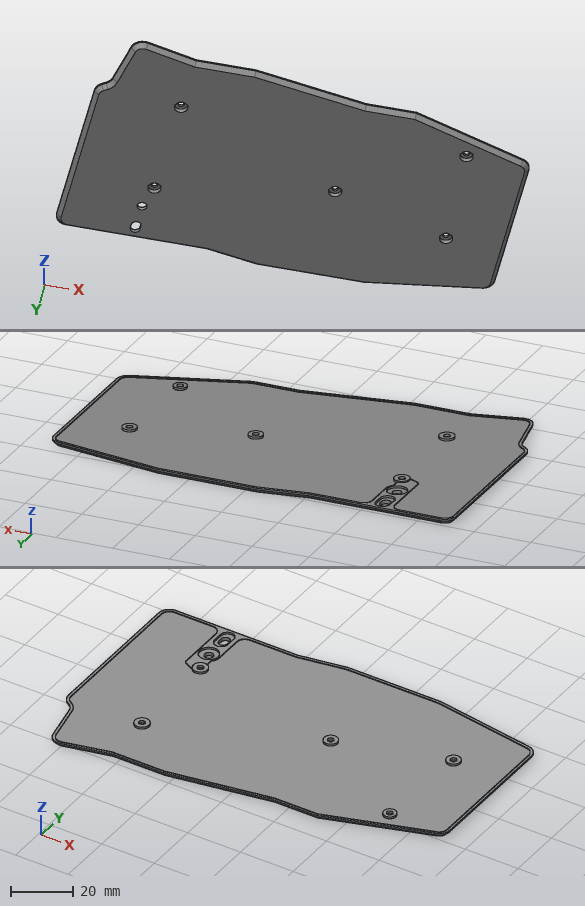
import cadquery as cq

rim_height = 2.0
boss_height = 2.5
recess_depth = 0.3
floor_height = rim_height - recess_depth
counterbore_depth = 0.7

half_length = 71.7
corner_radius = 4.0
bottom_chamfer = 1.5
rim_width = 1.0

top_left = (-half_length, 39.6)
top_right = (half_length, 36.0)
bottom_right = (half_length, -19.2)
bottom_left = (-63.5, -43.5)
notch_inner = (-67.4, -23.7)
notch_outer = (-half_length, -20.7)
rounded_corners = [top_left, top_right, bottom_right, bottom_left, notch_inner, notch_outer]

shoulder_y = 42.5
belly_y = -32.3
heel_y = -38.6
outline = [
    top_left,
    (-21.5, top_left[1]),
    (-4.3, shoulder_y),
    (31.0, shoulder_y),
    top_right,
    bottom_right,
    (31.1, belly_y),
    (14.6, belly_y),
    (-23.1, heel_y),
    (-42.8, heel_y),
    bottom_left,
    notch_inner,
    notch_outer,
]

large_boss_diameter = 5.3
small_boss_diameter = 5.0
smallest_boss_diameter = 4.6
land_boss = (-43.9, 16.6)
bosses = [
    (land_boss, large_boss_diameter),
    ((-43.3, -19.2), large_boss_diameter),
    ((12.9, 5.2), small_boss_diameter),
    ((52.1, 17.0), small_boss_diameter),
    ((50.6, -19.0), smallest_boss_diameter),
]

boss_hole_diameter = 2.2
screw_head_diameter = 4.3
screw_head_depth = 1.6

land_x = -46.0
land_width = 8.0
land_fillet = 3.0
land_left = land_x - land_width / 2
land_right = land_x + land_width / 2
hole_y = 25.1
hole_diameter = 3.2
hole_counterbore_diameter = 6.9
slot_y = 34.3
slot_length = 4.6
slot_width = hole_diameter
slot_counterbore_width = 5.0
slot_counterbore_length = 8.6
land_tip_y = 17.1
land_tip = (land_left, land_tip_y)
land_tip_fillet = 1.1
neck_offset = 0.6
neck_x = land_boss[0] + neck_offset


def round_upright_edges(body, corners, radius):
    """Fillet the vertical edge nearest to each corner point."""
    for x, y in corners:
        nearest = cq.selectors.NearestToPointSelector((x, y, body.val().Center().z))
        body = body.edges("|Z").edges(nearest).fillet(radius)
    return body


def block(points, bottom, top):
    """Extrude a closed polygon between two heights."""
    return cq.Workplane("XY").workplane(offset=bottom).polyline(points).close().extrude(top - bottom)


def cylinder(centre, diameter, bottom, top):
    return (
        cq.Workplane("XY").workplane(offset=bottom).center(*centre)
        .circle(diameter / 2).extrude(top - bottom)
    )


def lengthwise_slot(centre, length, width, bottom, top):
    """Round-ended slot body running along Y."""
    return (
        cq.Workplane("XY").workplane(offset=bottom).center(*centre)
        .slot2D(length, width, 90).extrude(top - bottom)
    )


def make_recess(plate):
    """Shallow pocket inside the rim, leaving the land standing."""
    pocket = (
        plate.faces(">Z").wires().toPending().offset2D(-rim_width).extrude(-recess_depth, combine=False)
    )
    strip = block(
        [(land_left, hole_y), (land_left, shoulder_y), (land_right, shoulder_y), (land_right, hole_y)],
        floor_height, rim_height,
    )
    tail = block(
        [(land_left, hole_y), land_tip, (land_boss[0], land_boss[1] - large_boss_diameter / 2),
         land_boss, (neck_x, land_boss[1]), (neck_x, hole_y)],
        floor_height, rim_height,
    )
    tail = round_upright_edges(tail, [land_tip], land_tip_fillet)
    round_end = cylinder((land_x, hole_y), land_width, floor_height, rim_height)
    pocket = pocket.cut(strip).cut(tail).cut(round_end)
    rim_y = top_left[1] - rim_width
    return round_upright_edges(pocket, [(land_left, rim_y), (land_right, rim_y)], land_fillet)


plate = round_upright_edges(block(outline, 0, rim_height), rounded_corners, corner_radius)
recess = make_recess(plate)
result = plate.faces("<Z").chamfer(bottom_chamfer).cut(recess)

for centre, diameter in bosses:
    result = result.union(cylinder(centre, diameter, screw_head_depth, boss_height))
    result = result.cut(cylinder(centre, boss_hole_diameter, 0, boss_height))
    result = result.cut(cylinder(centre, screw_head_diameter, 0, screw_head_depth))

counterbore_floor = rim_height - counterbore_depth
slot_centre = (land_x, slot_y)
hole_centre = (land_x, hole_y)
result = result.cut(lengthwise_slot(slot_centre, slot_length, slot_width, 0, rim_height))
result = result.cut(
    lengthwise_slot(
        slot_centre, slot_counterbore_length, slot_counterbore_width, counterbore_floor, rim_height
    )
)
result = result.cut(cylinder(hole_centre, hole_diameter, 0, rim_height))
result = result.cut(cylinder(hole_centre, hole_counterbore_diameter, counterbore_floor, rim_height))